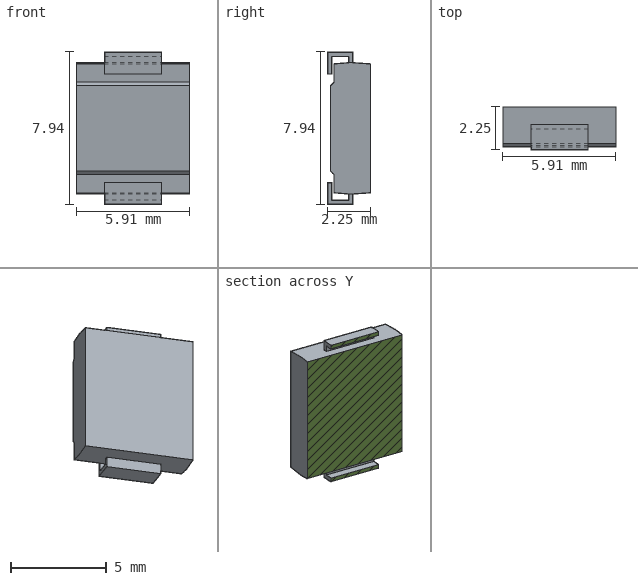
import cadquery as cq

body_width = 5.91
total_depth = 2.25
total_height = 7.94

body_depth = 2.1
edge_height = 6.73
waist_height = 6.86
shoulder_depth = 1.92
pad_height = 4.45
pad_base_height = 4.81

lead_width = 2.97
lead_thickness = 0.23
lead_depth = 1.325
foot_height = 1.135

back_y = total_depth / 2
front_y = -total_depth / 2
shoulder_y = back_y - shoulder_depth
pad_y = back_y - body_depth
lead_back_y = front_y + lead_depth
band_front_y = lead_back_y - lead_thickness
lead_top_z = total_height / 2


def make_body():
    upper_half = [
        (back_y, edge_height / 2),
        (lead_back_y, waist_height / 2),
        (band_front_y, waist_height / 2),
        (shoulder_y, edge_height / 2),
        (shoulder_y, pad_base_height / 2),
        (pad_y, pad_height / 2),
    ]
    lower_half = [(y, -z) for y, z in reversed(upper_half)]
    outline = cq.Workplane("YZ").polyline(upper_half + lower_half).close()
    return outline.extrude(body_width / 2, both=True)


def make_top_lead():
    """Hook that leaves the body at the parting band and folds to the front."""
    outline = [
        (lead_back_y, waist_height / 2),
        (lead_back_y, lead_top_z),
        (front_y, lead_top_z),
        (front_y, lead_top_z - foot_height),
        (front_y + lead_thickness, lead_top_z - foot_height),
        (front_y + lead_thickness, lead_top_z - lead_thickness),
        (band_front_y, lead_top_z - lead_thickness),
        (band_front_y, waist_height / 2),
    ]
    return cq.Workplane("YZ").polyline(outline).close().extrude(lead_width / 2, both=True)


top_lead = make_top_lead()
bottom_lead = top_lead.mirror("XY")
result = make_body().union(top_lead).union(bottom_lead)